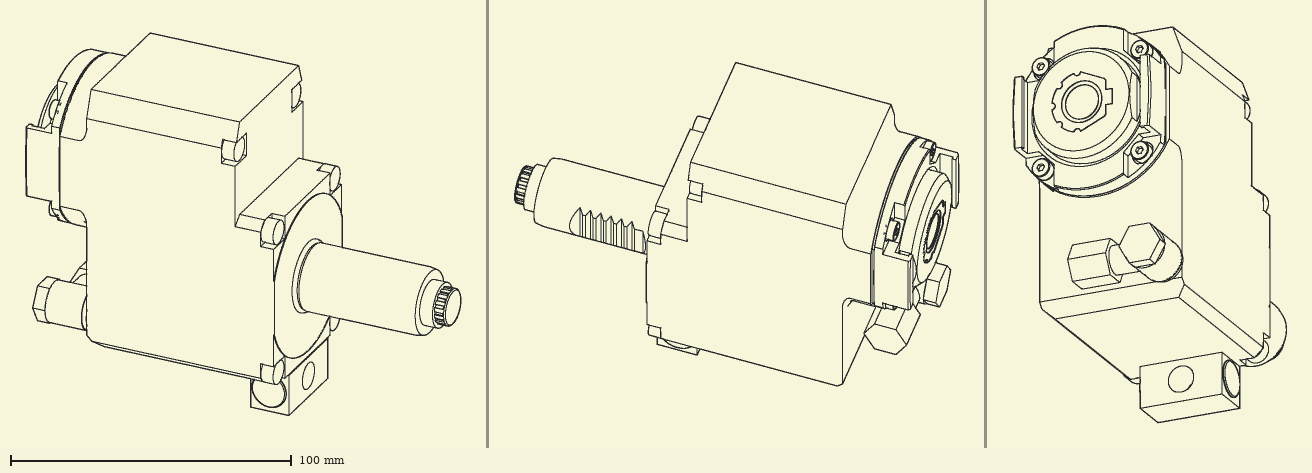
import cadquery as cq
import math


HALF_WIDTH = 28.0
FRONT_X = -74.15
STEP_X = -15.5
TOP_Z = 69.5
STEP_Z = 32.45
TOP_SLOPE_HEIGHT = 10.0
TOP_SLOPE_ANGLE = 20.0
BACK_RELIEF = 0.35
BACK_PAD_RADIUS = 30.0
FRONT_CHAMFER = 5.2
EDGE_CHAMFER_Y = 3.7
EDGE_CHAMFER_Z = 3.2

SCREW_Y = 23.2
SCREW_Z = 28.0
UPPER_SCREW_Z = 57.9
SCREW_HEAD_DIAMETER = 9.0
SCREW_POCKET_DEPTH = 5.5
SCREW_SUNK = 0.7

HEAD_Z = 36.0
COLLAR_RADIUS = 31.3
COLLAR_FRONT_X = -84.75
COLLAR_FLARE = 3.0
JOINT_WIDTH = 0.8
JOINT_DEPTH = 0.5
CAP_RADIUS = 31.1
CAP_CHAMFER = 0.4
CAP_FRONT_X = -92.6
CAP_SIDE_Y = 27.1
CAP_SIDE_FLAT = 3.05
CAP_SIDE_TILT = 3.0
CORNER_FLOOR_X = -88.75
CORNER_OFFSET = 13.65
CORNER_CHAMFER = 6.0
BORE_RADIUS = 22.4
BORE_DEPTH = 1.3

LUG_FRONT_X = -99.0
LUG_CHAMFER = 0.6
LUG_INNER_Y = 24.1
LIP_INNER_Y = 23.2
LIP_THICKNESS = 1.4

CAP_SCREW_OFFSET = 19.4
CAP_SCREW_DIAMETER = 7.0
CAP_SCREW_HEIGHT = 2.9
CAP_SCREW_CHAMFER = 0.3
CAP_SCREW_HEX = 2.5
CAP_SCREW_HEX_DEPTH = 1.5
CAP_SLOT_LENGTH = 8.6
CAP_SLOT_WIDTH = 6.6
CAP_SLOT_DEPTH = 0.8

NOSE_FRONT_X = -99.0
NOSE_RADIUS = 20.9
NOSE_CHAMFER = 2.1
NOSE_FLAT_Y = 19.0
FACE_STEP = 0.3
STAR_RADIUS = 11.6
STAR_NOTCH_RADIUS = 1.3
STAR_NOTCHES = 5
STAR_NOTCH_PITCH = 41.0
STAR_SIDE_DISTANCE = 9.65
STAR_SLANT_DISTANCE = 10.3
STAR_SLANT_ANGLE = 66.0
STAR_KEY_LENGTH = 12.1
STAR_KEY_WIDTH = 5.8
FACE_RING_RADIUS = 7.9
FACE_HOLE_RADIUS = 6.5

NOZZLE_Y = -21.0
NOZZLE_Z = -20.5
HEX_ACROSS_FLATS = 14.0
NOZZLE_TIP_X = -95.0
NOZZLE_HEX_BACK_X = -90.25
NOZZLE_BACK_X = -75.9
NOZZLE_DIAMETER = 15.6
NOZZLE_NECK_DIAMETER = 14.8
BRANCH_X = -83.5
BRANCH_DIAMETER = 10.7
NUT_Y_MIN = -6.1
NUT_Y_MAX = 8.8

BLOCK_LENGTH = 15.15
BLOCK_HALF_WIDTH = 16.1
BLOCK_BOTTOM_Z = -48.5
BLOCK_HOLE_Z = -40.0
BLOCK_HOLE_DIAMETER = 10.0
PLUG_X = -7.75
PLUG_RADIUS = 6.75
PLUG_HEIGHT = 0.7
PLUG_CHAMFER = 0.4

FLANGE_RADIUS = 13.5
FLANGE_LENGTH = 1.4
FLANGE_ROUND = 1.2
NECK_RADIUS = 12.2
NECK_END_X = 2.2
SHANK_RADIUS = 12.5
SHANK_TAPER_X = 45.0
SHANK_END_X = 47.9
SHANK_END_RADIUS = 12.0
JOURNAL_RADIUS = 8.4
JOURNAL_END_X = 53.0
SPLINE_RADIUS = 6.9
SPLINE_ROOT = 6.2
SPLINE_END_X = 57.16
SPLINE_GAP_END_X = 56.3
SPLINE_CHAMFER = 0.5
SPLINE_TEETH = 16
SPLINE_GAP_WIDTH = 1.2

SERRATION_START_X = 5.6
SERRATION_FLAT_Y = 10.9
SERRATION_ROOT_Y = 9.5
SERRATION_FIRST_X = 11.8
SERRATION_PITCH = 3.9
SERRATION_COUNT = 6


def box(x_range, y_range, z_range):
    """Box given by its limits on each axis."""
    size = [high - low for low, high in (x_range, y_range, z_range)]
    corner = (x_range[0], y_range[0], z_range[0])
    return cq.Workplane("XY").box(*size, centered=False).translate(corner)


def plane_at(x, y=0.0, z=0.0):
    """Workplane facing +X whose local axes are Y and Z."""
    return cq.Workplane(cq.Plane((x, y, z), xDir=(0, 1, 0), normal=(1, 0, 0)))


def turned(points, axis_z=0.0):
    """Solid of revolution about a line parallel to X, from (x, radius) points."""
    profile = cq.Workplane("XZ").polyline(points).close()
    return profile.revolve(360, (0, 0, 0), (1, 0, 0)).translate((0, 0, axis_z))


def make_housing():
    housing = (
        cq.Workplane("XZ")
        .moveTo(FRONT_X, TOP_Z)
        .lineTo(STEP_X, TOP_Z)
        .lineTo(STEP_X, STEP_Z)
        .lineTo(0, STEP_Z)
        .lineTo(0, -STEP_Z)
        .lineTo(FRONT_X + FRONT_CHAMFER, -STEP_Z)
        .lineTo(FRONT_X, -STEP_Z + FRONT_CHAMFER)
        .close()
        .extrude(HALF_WIDTH, both=True)
    )
    slope_run = TOP_SLOPE_HEIGHT * math.tan(math.radians(TOP_SLOPE_ANGLE))
    for sign in (-1, 1):
        edge = sign * HALF_WIDTH
        top_wedge = [
            (edge, TOP_Z - TOP_SLOPE_HEIGHT),
            (edge, TOP_Z),
            (edge - sign * slope_run, TOP_Z),
        ]
        bottom_wedge = [
            (edge, -STEP_Z + EDGE_CHAMFER_Z),
            (edge, -STEP_Z),
            (edge - sign * EDGE_CHAMFER_Y, -STEP_Z),
        ]
        step_wedge = [(y, -z) for y, z in bottom_wedge]
        housing = housing.cut(plane_at(FRONT_X).polyline(top_wedge).close().extrude(STEP_X - FRONT_X))
        housing = housing.cut(plane_at(FRONT_X).polyline(bottom_wedge).close().extrude(-FRONT_X))
        housing = housing.cut(plane_at(STEP_X).polyline(step_wedge).close().extrude(-STEP_X))
    return housing


def relieve_back(body):
    """Lower the back face around a round seating pad."""
    relief = box((-BACK_RELIEF, 0), (-HALF_WIDTH, HALF_WIDTH), (-STEP_Z, STEP_Z))
    pad = plane_at(-BACK_RELIEF).circle(BACK_PAD_RADIUS).extrude(BACK_RELIEF)
    return body.cut(relief.cut(pad))


def add_housing_screws(body):
    radius = SCREW_HEAD_DIAMETER / 2
    seats = [(0, SCREW_Z), (0, -SCREW_Z), (STEP_X, UPPER_SCREW_Z)]
    for face_x, z in seats:
        for sign in (-1, 1):
            y_limits = sorted((sign * (SCREW_Y - radius), sign * HALF_WIDTH))
            floor_x = face_x - SCREW_POCKET_DEPTH
            body = body.cut(box((floor_x, face_x), y_limits, (z - radius, z + radius)))
            head_length = SCREW_POCKET_DEPTH - SCREW_SUNK
            body = body.union(plane_at(floor_x, sign * SCREW_Y, z).circle(radius).extrude(head_length))
    return body


def make_collar():
    """Round collar that flares into the housing front, trimmed flush with its sides."""
    flare_start = FRONT_X - COLLAR_FLARE
    flare_mid = COLLAR_FLARE * math.sqrt(0.5)
    collar = (
        cq.Workplane("XZ")
        .moveTo(COLLAR_FRONT_X, 0)
        .lineTo(COLLAR_FRONT_X, COLLAR_RADIUS)
        .lineTo(flare_start, COLLAR_RADIUS)
        .threePointArc(
            (flare_start + flare_mid, COLLAR_RADIUS + COLLAR_FLARE - flare_mid),
            (FRONT_X, COLLAR_RADIUS + COLLAR_FLARE),
        )
        .lineTo(FRONT_X, 0)
        .close()
        .revolve(360, (0, 0, 0), (1, 0, 0))
        .translate((0, 0, HEAD_Z))
    )
    return collar.intersect(box((COLLAR_FRONT_X, FRONT_X), (-HALF_WIDTH, HALF_WIDTH), (-STEP_Z, TOP_Z)))


def cap_outline(front_x, back_x):
    """Prism over the cap's sides: a narrow flat on each side, then tilted faces."""
    reach = CAP_RADIUS
    tilt_drop = (reach - CAP_SIDE_FLAT) * math.tan(math.radians(CAP_SIDE_TILT))
    quarter = [(CAP_SIDE_Y, CAP_SIDE_FLAT), (CAP_SIDE_Y - tilt_drop, reach)]
    right = [(y, -z) for y, z in reversed(quarter)] + quarter
    left = [(-y, -z) for y, z in right]
    return plane_at(front_x, 0, HEAD_Z).polyline(right + left).close().extrude(back_x - front_x)


def make_cap():
    joint_x = COLLAR_FRONT_X - JOINT_WIDTH
    cap = plane_at(CAP_FRONT_X, 0, HEAD_Z).circle(CAP_RADIUS).extrude(joint_x - CAP_FRONT_X)
    cap = cap.faces("<X").chamfer(CAP_CHAMFER)
    cap = cap.intersect(cap_outline(CAP_FRONT_X, joint_x)).union(make_lugs())
    cap = cap.union(make_joint(joint_x))
    for sign_y in (-1, 1):
        for sign_z in (-1, 1):
            cap = cut_cap_corner(cap, sign_y, sign_z)
    bore = plane_at(CAP_FRONT_X, 0, HEAD_Z).circle(BORE_RADIUS)
    return cap.cut(bore.workplane(offset=BORE_DEPTH).circle(NOSE_RADIUS).loft())


def make_joint(joint_x):
    """Narrow neck between cap and collar, set in from the cap's rim and sides."""
    radius = CAP_RADIUS - JOINT_DEPTH
    side_y = CAP_SIDE_Y - JOINT_DEPTH
    neck = plane_at(joint_x, 0, HEAD_Z).circle(radius).extrude(JOINT_WIDTH)
    z_limits = (HEAD_Z - radius, HEAD_Z + radius)
    return neck.intersect(box((joint_x, COLLAR_FRONT_X), (-side_y, side_y), z_limits))


def make_lugs():
    """Two side lugs whose front lips turn in toward the spindle nose."""
    blank = cap_outline(LUG_FRONT_X, CAP_FRONT_X).faces("<X").chamfer(LUG_CHAMFER)
    z_limits = (HEAD_Z - CORNER_OFFSET, HEAD_Z + CORNER_OFFSET)
    blank = blank.intersect(box((LUG_FRONT_X, CAP_FRONT_X), (-HALF_WIDTH, HALF_WIDTH), z_limits))
    blank = blank.cut(box((LUG_FRONT_X, CAP_FRONT_X), (-LIP_INNER_Y, LIP_INNER_Y), z_limits))
    return blank.cut(box((LUG_FRONT_X + LIP_THICKNESS, CAP_FRONT_X), (-LUG_INNER_Y, LUG_INNER_Y), z_limits))


def cut_cap_corner(cap, sign_y, sign_z):
    """Open one corner of the cap down to its floor and seat a screw there."""
    inner = CORNER_OFFSET
    outer = CAP_RADIUS
    corner = [
        (inner, outer),
        (inner, inner + CORNER_CHAMFER),
        (inner + CORNER_CHAMFER, inner),
        (outer, inner),
        (outer, outer),
    ]
    corner = [(sign_y * y, sign_z * z) for y, z in corner]
    depth = CORNER_FLOOR_X - CAP_FRONT_X
    cap = cap.cut(plane_at(CAP_FRONT_X, 0, HEAD_Z).polyline(corner).close().extrude(depth))
    floor = plane_at(CORNER_FLOOR_X, sign_y * CAP_SCREW_OFFSET, HEAD_Z + sign_z * CAP_SCREW_OFFSET)
    tangent_angle = -45 * sign_y * sign_z
    cap = cap.cut(floor.slot2D(CAP_SLOT_LENGTH, CAP_SLOT_WIDTH, tangent_angle).extrude(CAP_SLOT_DEPTH))
    head_top = floor.workplane(offset=-CAP_SCREW_HEIGHT)
    head = head_top.circle(CAP_SCREW_DIAMETER / 2).extrude(CAP_SCREW_HEIGHT + CAP_SLOT_DEPTH)
    cap = cap.union(head.faces("<X").chamfer(CAP_SCREW_CHAMFER))
    socket_diameter = CAP_SCREW_HEX / math.cos(math.pi / 6)
    return cap.cut(head_top.polygon(6, socket_diameter).extrude(CAP_SCREW_HEX_DEPTH))


def make_nose():
    nose = turned(
        [
            (NOSE_FRONT_X, 0),
            (NOSE_FRONT_X, NOSE_RADIUS - NOSE_CHAMFER),
            (NOSE_FRONT_X + NOSE_CHAMFER, NOSE_RADIUS),
            (COLLAR_FRONT_X, NOSE_RADIUS),
            (COLLAR_FRONT_X, 0),
        ],
        HEAD_Z,
    )
    z_limits = (HEAD_Z - NOSE_RADIUS, HEAD_Z + NOSE_RADIUS)
    for sign in (-1, 1):
        y_limits = sorted((sign * NOSE_FLAT_Y, sign * NOSE_RADIUS))
        nose = nose.cut(box((NOSE_FRONT_X, CAP_FRONT_X), y_limits, z_limits))
    face = plane_at(NOSE_FRONT_X, 0, HEAD_Z)
    nose = nose.cut(make_star_recess(face))
    nose = nose.cut(face.circle(FACE_RING_RADIUS).extrude(2 * FACE_STEP))
    return nose.cut(face.circle(FACE_HOLE_RADIUS).extrude(3 * FACE_STEP))


def make_star_recess(face):
    """Notched disc on the +Y side, three flats and a driving key on the -Y side."""
    star = face.circle(STAR_RADIUS).extrude(FACE_STEP)
    first_angle = -STAR_NOTCH_PITCH * (STAR_NOTCHES - 1) / 2
    for index in range(STAR_NOTCHES):
        angle = math.radians(first_angle + index * STAR_NOTCH_PITCH)
        y = STAR_RADIUS * math.cos(angle)
        z = STAR_RADIUS * math.sin(angle)
        star = star.cut(face.center(y, z).circle(STAR_NOTCH_RADIUS).extrude(FACE_STEP))
    flats = [
        (-STAR_SLANT_ANGLE, STAR_SLANT_DISTANCE),
        (0, STAR_SIDE_DISTANCE),
        (STAR_SLANT_ANGLE, STAR_SLANT_DISTANCE),
    ]
    for angle, distance in flats:
        beyond_flat = face.center(-distance - STAR_RADIUS / 2, 0)
        beyond_flat = beyond_flat.rect(STAR_RADIUS, 2 * STAR_RADIUS).extrude(FACE_STEP)
        star = star.cut(beyond_flat.rotate((0, 0, HEAD_Z), (1, 0, HEAD_Z), angle))
    key = face.center(-STAR_KEY_LENGTH / 2, 0).rect(STAR_KEY_LENGTH, STAR_KEY_WIDTH).extrude(FACE_STEP)
    return star.union(key)


def make_coolant_fitting():
    corner_diameter = HEX_ACROSS_FLATS / math.cos(math.pi / 6)

    def nozzle_at(x):
        return plane_at(x, NOZZLE_Y, NOZZLE_Z)

    tip = nozzle_at(NOZZLE_TIP_X).polygon(6, corner_diameter).extrude(NOZZLE_HEX_BACK_X - NOZZLE_TIP_X)
    barrel_length = NOZZLE_BACK_X - NOZZLE_HEX_BACK_X
    barrel = nozzle_at(NOZZLE_HEX_BACK_X).circle(NOZZLE_DIAMETER / 2).extrude(barrel_length)
    neck = nozzle_at(NOZZLE_BACK_X).circle(NOZZLE_NECK_DIAMETER / 2).extrude(FRONT_X - NOZZLE_BACK_X)

    def branch_at(y):
        return cq.Workplane(cq.Plane((BRANCH_X, y, NOZZLE_Z), xDir=(1, 0, 0), normal=(0, 1, 0)))

    branch = branch_at(NOZZLE_Y).circle(BRANCH_DIAMETER / 2).extrude(NUT_Y_MIN - NOZZLE_Y)
    nut = branch_at(NUT_Y_MIN).polygon(6, corner_diameter).extrude(NUT_Y_MAX - NUT_Y_MIN)
    return tip.union(barrel).union(neck).union(branch).union(nut)


def make_clamp_block():
    block = box((-BLOCK_LENGTH, 0), (-BLOCK_HALF_WIDTH, BLOCK_HALF_WIDTH), (BLOCK_BOTTOM_Z, -STEP_Z))
    for sign in (-1, 1):
        plug_center = (PLUG_X, sign * BLOCK_HALF_WIDTH, BLOCK_HOLE_Z)
        side = cq.Plane(plug_center, xDir=(1, 0, 0), normal=(0, sign, 0))
        plug = cq.Workplane(side).circle(PLUG_RADIUS).extrude(PLUG_HEIGHT)
        block = block.union(plug.faces(">Y" if sign > 0 else "<Y").chamfer(PLUG_CHAMFER))
    hole = plane_at(-BLOCK_LENGTH, 0, BLOCK_HOLE_Z).circle(BLOCK_HOLE_DIAMETER / 2).extrude(BLOCK_LENGTH)
    return block.cut(hole)


def make_shank():
    shank = turned(
        [
            (0, 0),
            (0, NECK_RADIUS),
            (FLANGE_LENGTH, NECK_RADIUS),
            (NECK_END_X, SHANK_RADIUS),
            (SHANK_TAPER_X, SHANK_RADIUS),
            (SHANK_END_X, SHANK_END_RADIUS),
            (SHANK_END_X, JOURNAL_RADIUS),
            (JOURNAL_END_X, JOURNAL_RADIUS),
            (JOURNAL_END_X, SPLINE_RADIUS),
            (SPLINE_END_X - SPLINE_CHAMFER, SPLINE_RADIUS),
            (SPLINE_END_X, SPLINE_RADIUS - SPLINE_CHAMFER),
            (SPLINE_END_X, 0),
        ]
    )
    flange = plane_at(0).circle(FLANGE_RADIUS).extrude(FLANGE_LENGTH)
    flange = flange.faces(">X").edges().fillet(FLANGE_ROUND)
    return cut_spline(cut_serrations(shank.union(flange)))


def cut_serrations(shank):
    depth = SERRATION_FLAT_Y - SERRATION_ROOT_Y
    relief = SHANK_RADIUS - SERRATION_FLAT_Y
    points = [(SERRATION_START_X, SHANK_RADIUS), (SERRATION_START_X + relief, SERRATION_FLAT_Y)]
    for index in range(SERRATION_COUNT):
        root_x = SERRATION_FIRST_X + index * SERRATION_PITCH
        points.append((root_x - depth, SERRATION_FLAT_Y))
        points.append((root_x, SERRATION_ROOT_Y))
        points.append((root_x + depth, SERRATION_FLAT_Y))
    points.append((root_x + depth + relief, SHANK_RADIUS))
    cutter = cq.Workplane("XY").polyline(points).close().extrude(SHANK_RADIUS, both=True)
    return shank.cut(cutter)


def cut_spline(shank):
    gap_depth = SPLINE_RADIUS - SPLINE_ROOT
    gaps = (
        plane_at(JOURNAL_END_X)
        .polarArray(SPLINE_ROOT + gap_depth, 0, 360, SPLINE_TEETH)
        .rect(2 * gap_depth, SPLINE_GAP_WIDTH)
        .extrude(SPLINE_GAP_END_X - JOURNAL_END_X)
    )
    return shank.cut(gaps)


result = add_housing_screws(relieve_back(make_housing()))
for feature in (
    make_collar(),
    make_cap(),
    make_nose(),
    make_coolant_fitting(),
    make_clamp_block(),
    make_shank(),
):
    result = result.union(feature)